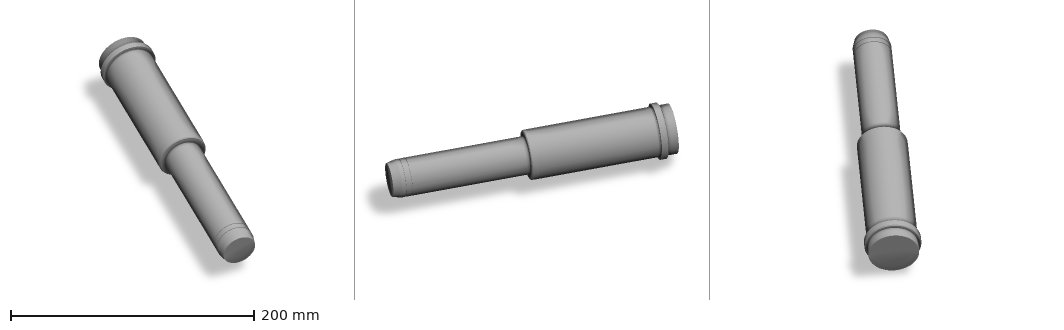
import cadquery as cq

total_length = 240.0
head_face = -total_length / 2
rod_tip = total_length / 2
collar_start = head_face + 9.0
collar_end = head_face + 15.0
lead_start = head_face + 118.5
sleeve_end = head_face + 124.0
nose_length = 7.2

sleeve_diameter = 42.0
collar_diameter = 47.0
rod_diameter = 32.0
nose_tip_diameter = 28.3
lead_end_diameter = 41.8

head_chamfer = 0.2
collar_chamfer = 0.7
sleeve_chamfer = 0.7
groove_depth = 0.5
narrow_groove_width = 0.7
relief_width = 1.5
rod_groove_starts = (rod_tip - 15.8, rod_tip - 10.8)


def cylinder(start, end, diameter):
    """Solid round bar along X between two stations."""
    return cq.Workplane("YZ", origin=(start, 0, 0)).circle(diameter / 2).extrude(end - start)


def cone(start, end, start_diameter, end_diameter):
    """Solid tapered bar along X between two stations."""
    outline = [(start, 0), (start, start_diameter / 2), (end, end_diameter / 2), (end, 0)]
    return cq.Workplane("XY").polyline(outline).close().revolve(360, (0, 0, 0), (1, 0, 0))


def groove(start, width, diameter):
    """Ring that cuts a shallow square groove into a bar of the given diameter."""
    floor_diameter = diameter - 2 * groove_depth
    outer = cylinder(start, start + width, collar_diameter)
    return outer.cut(cylinder(start, start + width, floor_diameter))


head_and_sleeve = cylinder(head_face, lead_start, sleeve_diameter)
head_and_sleeve = head_and_sleeve.faces("<X").chamfer(head_chamfer)
lead = cone(lead_start, sleeve_end, sleeve_diameter, lead_end_diameter)
lead = lead.faces(">X").chamfer(sleeve_chamfer)

collar = cylinder(collar_start, collar_end, collar_diameter).faces("<X").chamfer(collar_chamfer)

nose_start = rod_tip - nose_length
rod = cylinder(sleeve_end, nose_start, rod_diameter)
nose = cone(nose_start, rod_tip, rod_diameter, nose_tip_diameter)

result = head_and_sleeve.union(lead).union(collar).union(rod).union(nose)

result = result.cut(groove(collar_start - narrow_groove_width, narrow_groove_width, sleeve_diameter))
result = result.cut(groove(collar_end, relief_width, sleeve_diameter))
result = result.cut(groove(sleeve_end, narrow_groove_width, rod_diameter))

for groove_start in rod_groove_starts:
    result = result.cut(groove(groove_start, narrow_groove_width, rod_diameter))